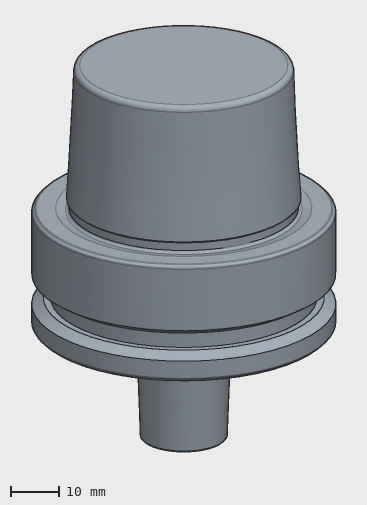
import cadquery as cq

total_height = 82.9
flange_bottom = 24.9
flange_top = 51.0
groove_bottom = 31.1
groove_top = 34.9
taper_bottom = 52.9
stem_taper_top = 22.05

flange_radius = 31.5
groove_radius = 27.6
groove_bevel_radius = 29.1
stem_tip_radius = 9.0
stem_top_radius = 9.9
neck_radius = 23.8
taper_bottom_radius = 24.3
taper_top_radius = 22.8
relief_radius = 26.5

groove_bevel_height = 1.5
flange_chamfer = 0.75
chamfer_inner_radius = flange_radius - flange_chamfer
chamfer_corner_round = 0.3
relief_foot_round = 0.6
stem_tip_chamfer = 0.3
stem_fillet = flange_bottom - stem_taper_top
taper_rim_height = 0.4
taper_top_round = 1.25
relief_depth = 0.5

MATCH_TOLERANCE = 0.01

QUARTER_MID = 0.5 ** 0.5


def quarter_mid(center_r, center_z, radius, side_r, side_z):
    """Midpoint of a quarter round, on the side of its center given by the two signs."""
    offset = radius * QUARTER_MID
    return (center_r + side_r * offset, center_z + side_z * offset)


def add_stem(profile):
    """Tapered stem that flares into the flange underside."""
    flare_center_r = stem_top_radius + stem_fillet
    return (
        profile.lineTo(stem_tip_radius - stem_tip_chamfer, 0)
        .lineTo(stem_tip_radius, stem_tip_chamfer)
        .lineTo(stem_top_radius, stem_taper_top)
        .threePointArc(
            quarter_mid(flare_center_r, stem_taper_top, stem_fillet, -1, 1),
            (flare_center_r, flange_bottom),
        )
    )


def add_flange(profile):
    """Chamfered flange with a bevelled gripper groove and a dished relief on its top face."""
    return (
        profile.lineTo(chamfer_inner_radius, flange_bottom)
        .lineTo(flange_radius, flange_bottom + flange_chamfer)
        .lineTo(flange_radius, groove_bottom - groove_bevel_height)
        .lineTo(groove_bevel_radius, groove_bottom)
        .lineTo(groove_radius, groove_bottom)
        .lineTo(groove_radius, groove_top)
        .lineTo(groove_bevel_radius, groove_top)
        .lineTo(flange_radius, groove_top + groove_bevel_height)
        .lineTo(flange_radius, flange_top - flange_chamfer)
        .lineTo(chamfer_inner_radius, flange_top)
        .lineTo(relief_radius, flange_top)
        .lineTo(neck_radius, flange_top - relief_depth)
    )


def add_taper(profile):
    """Undercut neck and tapered shank with a rounded top edge."""
    round_center_r = taper_top_radius - taper_top_round
    round_center_z = total_height - taper_top_round
    return (
        profile.lineTo(neck_radius, taper_bottom)
        .lineTo(taper_bottom_radius, taper_bottom + taper_rim_height)
        .lineTo(taper_top_radius, round_center_z)
        .threePointArc(
            quarter_mid(round_center_r, round_center_z, taper_top_round, 1, 1),
            (round_center_r, total_height),
        )
        .lineTo(0, total_height)
    )


def round_circle(body, circle_radius, circle_z, round_radius):
    """Round the circular edge of the given radius that lies at the given height."""
    edges = body.edges("%CIRCLE").filter(
        lambda edge: abs(edge.radius() - circle_radius) < MATCH_TOLERANCE
        and abs(edge.Center().z - circle_z) < MATCH_TOLERANCE
    )
    return edges.fillet(round_radius)


half_section = add_taper(add_flange(add_stem(cq.Workplane("XZ").moveTo(0, 0)))).close()
body = half_section.revolve(360, (0, 0, 0), (0, 1, 0))

for face_z, inward in ((flange_bottom, 1), (flange_top, -1)):
    body = round_circle(body, chamfer_inner_radius, face_z, chamfer_corner_round)
    rim_z = face_z + inward * flange_chamfer
    body = round_circle(body, flange_radius, rim_z, chamfer_corner_round)

result = round_circle(body, neck_radius, flange_top - relief_depth, relief_foot_round)